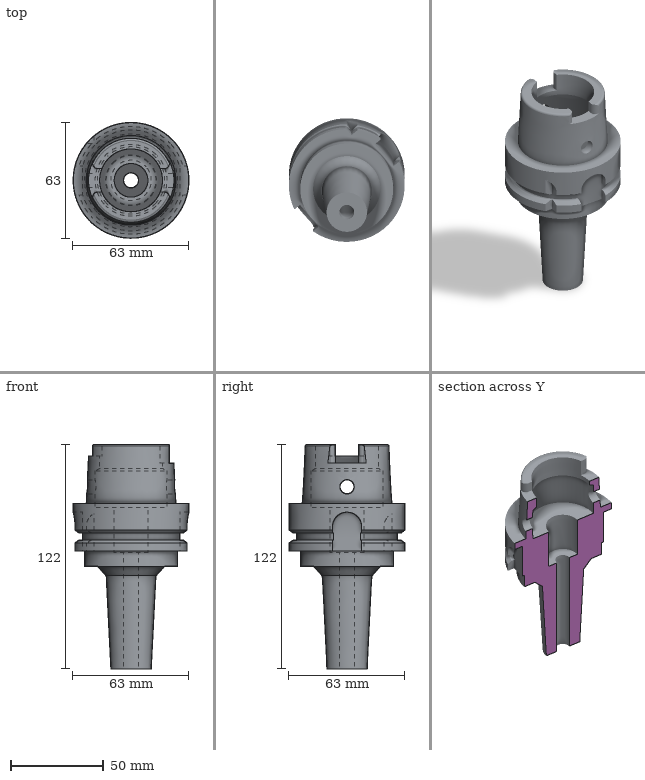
import cadquery as cq
import math

TOTAL_HEIGHT = 122.0
FLANGE_TOP = 90.0
FLANGE_BOTTOM = 64.0
COLLAR_BOTTOM = 55.9
NECK_TOP = 51.0

FLANGE_RADIUS = 31.5
COLLAR_RADIUS = 25.3
NECK_CONE_RADIUS = 18.3
NECK_RADIUS = 13.8
SHANK_TOP_RADIUS = 13.5
SHANK_NOSE_RADIUS = 11.0
TAPER_BASE_RADIUS = 24.4
TAPER_TOP_RADIUS = 22.8
RIM_ROUND = 1.2

GROOVE_RADIUS = 27.5
GROOVE_TOP = 73.9
GROOVE_BOTTOM = 70.2
GROOVE_LIP_RADIUS = 29.3
GROOVE_BEVEL_HEIGHT = 1.6

MOUTH_RADIUS = 17.1
MOUTH_DEPTH = 12.9
CHAMBER_RADIUS = 19.5
CHAMBER_FLOOR = 87.8
CHAMBER_CONE_ANGLE = 60.0
COUNTERBORE_RADIUS = 9.2
COUNTERBORE_FLOOR = 63.5
THROUGH_RADIUS = 4.0

CROSS_HOLE_RADIUS = 3.8
CROSS_HOLE_HEIGHT = 99.1

DRIVE_SLOT_HALF_WIDTH = 6.3
DRIVE_RELIEF_DISTANCE = 20.9
DRIVE_CORNER_ROUND = 2.8
LEFT_DRIVE_DEPTH = 6.1
RIGHT_DRIVE_DEPTH = 10.1

ARCH_RADIUS = 7.9
ARCH_CENTER_HEIGHT = 77.3
KEYWAY_FLOOR = 26.5
NOTCH_FLOOR = 20.0

CUT_REACH = 36.6


def make_body():
    """Revolve the solid outer profile about Z."""
    profile = [
        (0, 0),
        (SHANK_NOSE_RADIUS, 0),
        (SHANK_TOP_RADIUS, NECK_TOP),
        (NECK_RADIUS, NECK_TOP),
        (NECK_CONE_RADIUS, COLLAR_BOTTOM),
        (COLLAR_RADIUS, COLLAR_BOTTOM),
        (COLLAR_RADIUS, FLANGE_BOTTOM),
        (FLANGE_RADIUS, FLANGE_BOTTOM),
        (FLANGE_RADIUS, GROOVE_BOTTOM - GROOVE_BEVEL_HEIGHT),
        (GROOVE_LIP_RADIUS, GROOVE_BOTTOM),
        (GROOVE_RADIUS, GROOVE_BOTTOM),
        (GROOVE_RADIUS, GROOVE_TOP),
        (GROOVE_LIP_RADIUS, GROOVE_TOP),
        (FLANGE_RADIUS, GROOVE_TOP + GROOVE_BEVEL_HEIGHT),
        (FLANGE_RADIUS, FLANGE_TOP),
        (TAPER_BASE_RADIUS, FLANGE_TOP),
        (TAPER_TOP_RADIUS, TOTAL_HEIGHT),
        (0, TOTAL_HEIGHT),
    ]
    body = cq.Workplane("XZ").polyline(profile).close().revolve(360, (0, 0), (0, 1))
    return body.faces(">Z").edges().fillet(RIM_ROUND)


def make_bore():
    """Mouth, conical undercut, chamber, counterbore and through hole as one revolved tool."""
    mouth_bottom = TOTAL_HEIGHT - MOUTH_DEPTH
    cone_height = (CHAMBER_RADIUS - MOUTH_RADIUS) / math.tan(math.radians(CHAMBER_CONE_ANGLE))
    profile = [
        (0, 0),
        (THROUGH_RADIUS, 0),
        (THROUGH_RADIUS, COUNTERBORE_FLOOR),
        (COUNTERBORE_RADIUS, COUNTERBORE_FLOOR),
        (COUNTERBORE_RADIUS, CHAMBER_FLOOR),
        (CHAMBER_RADIUS, CHAMBER_FLOOR),
        (CHAMBER_RADIUS, mouth_bottom - cone_height),
        (MOUTH_RADIUS, mouth_bottom),
        (MOUTH_RADIUS, TOTAL_HEIGHT),
        (0, TOTAL_HEIGHT),
    ]
    return cq.Workplane("XZ").polyline(profile).close().revolve(360, (0, 0), (0, 1))


def make_cross_hole():
    return (
        cq.Workplane("YZ")
        .center(0, CROSS_HOLE_HEIGHT)
        .circle(CROSS_HOLE_RADIUS)
        .extrude(CUT_REACH, both=True)
    )


def make_drive_slot(side, depth):
    """Slot through the rim on the given X side, flaring into a flat relief with rounded corners."""
    half = DRIVE_SLOT_HALF_WIDTH
    flare = half + DRIVE_CORNER_ROUND
    relief = side * DRIVE_RELIEF_DISTANCE
    round_start = side * (DRIVE_RELIEF_DISTANCE - DRIVE_CORNER_ROUND)
    arc_inset = DRIVE_CORNER_ROUND * math.sqrt(0.5)
    arc_mid_x = round_start + side * arc_inset
    arc_mid_y = flare - arc_inset
    outer = side * CUT_REACH
    return (
        cq.Workplane("XY", origin=(0, 0, TOTAL_HEIGHT - depth))
        .moveTo(0, -half)
        .lineTo(round_start, -half)
        .threePointArc((arc_mid_x, -arc_mid_y), (relief, -flare))
        .lineTo(relief, -CUT_REACH)
        .lineTo(outer, -CUT_REACH)
        .lineTo(outer, CUT_REACH)
        .lineTo(relief, CUT_REACH)
        .lineTo(relief, flare)
        .threePointArc((arc_mid_x, arc_mid_y), (round_start, half))
        .lineTo(0, half)
        .close()
        .extrude(depth)
    )


def make_arched_cut(side, floor, center_y):
    """Round-topped cut entering along X, open at the flange bottom and ending at a flat floor."""
    return (
        cq.Workplane("YZ", origin=(side * floor, center_y, 0))
        .moveTo(-ARCH_RADIUS, FLANGE_BOTTOM)
        .lineTo(-ARCH_RADIUS, ARCH_CENTER_HEIGHT)
        .threePointArc((0, ARCH_CENTER_HEIGHT + ARCH_RADIUS), (ARCH_RADIUS, ARCH_CENTER_HEIGHT))
        .lineTo(ARCH_RADIUS, FLANGE_BOTTOM)
        .close()
        .extrude(side * (CUT_REACH - floor))
    )


result = make_body().cut(make_bore()).cut(make_cross_hole())

for side, depth in ((-1, LEFT_DRIVE_DEPTH), (1, RIGHT_DRIVE_DEPTH)):
    result = result.cut(make_drive_slot(side, depth))
    result = result.cut(make_arched_cut(side, KEYWAY_FLOOR, 0))

result = result.cut(make_arched_cut(-1, NOTCH_FLOOR, NOTCH_FLOOR + ARCH_RADIUS))